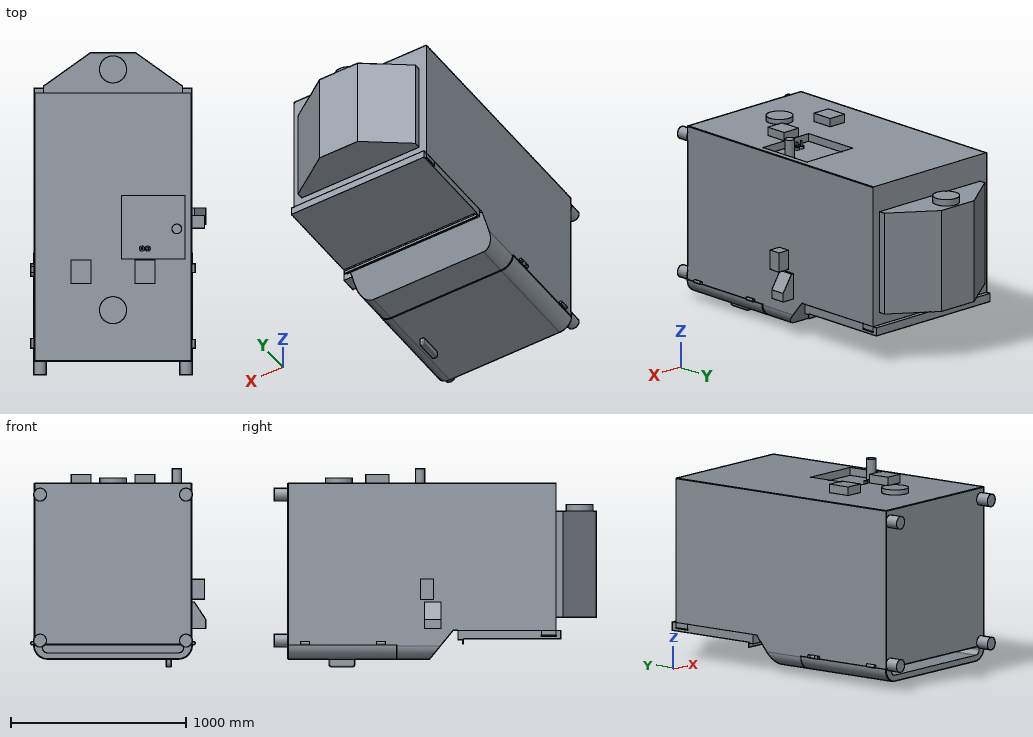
import cadquery as cq

WIDTH = 900.0
HALF_WIDTH = WIDTH / 2
LENGTH = 1533.0
HEIGHT = 1007.0
DOOR_LENGTH = 624.0
DOOR_HEIGHT = 83.0
STEP_HEIGHT = 165.0
STEP_FRONT = 945.0
SLOPE_FOOT = 810.0
CORNER_RADIUS = 77.0
EDGE_BREAK = 4.0

FOOT_RADIUS = 37.0
FOOT_LENGTH = 77.0
FOOT_SPACING = 834.0
FOOT_LOW_Z = 107.0

FLUE_BOX_DEPTH = 230.0
FLUE_BOX_STRAIGHT = 39.0
FLUE_BOX_WIDTH = 795.0
FLUE_BOX_END_WIDTH = 258.0
FLUE_BOX_BOTTOM = 240.0
FLUE_BOX_TOP = 846.0
COLLAR_RADIUS = 77.0
FLUE_COLLAR_HEIGHT = 39.0
FLUE_COLLAR_BEHIND = 135.0

TOP_COLLAR_Y = 293.0
TOP_COLLAR_HEIGHT = 30.0
TOP_BOX_X = 182.0
TOP_BOX_WIDTH = 115.0
TOP_BOX_FRONT = 445.0
TOP_BOX_LENGTH = 135.0
TOP_BOX_HEIGHT = 50.0
POCKET_SIZE = 362.0
POCKET_LEFT = 48.0
POCKET_FRONT = 583.0
POCKET_DEPTH = 46.0
PIPE_X = 365.0
PIPE_Y = 756.0
PIPE_RADIUS = 28.0
PIPE_RISE = 83.0
STUD_XS = (165.0, 199.0)
STUD_Y = 644.0
STUD_BASE_RADIUS = 15.0
STUD_BASE_HEIGHT = 15.0
STUD_RADIUS = 5.0
STUD_HEIGHT = 45.0

MOTOR_REACH = 74.0
MOTOR_FRONT = 760.0
MOTOR_LENGTH = 74.0
MOTOR_BOTTOM = 342.0
MOTOR_HEIGHT = 116.0
HOPPER_REACH = 81.0
HOPPER_FRONT = 782.0
HOPPER_LENGTH = 94.0
HOPPER_BOTTOM = 175.0
HOPPER_LIP_TOP = 226.0
HOPPER_TOP = 328.0
HOPPER_TOP_REACH = 15.0

DOOR_OVERHANG = 4.0
CAVITY_WIDTH = 806.0
CAVITY_FLOOR = 37.0
CAVITY_RADIUS = 30.0
HINGE_RADIUS = 10.0
HINGE_OUT = 11.0
HINGE_Z = 92.0
HINGES = (
    (-1, 485.0, 72.0),
    (-1, 74.0, 57.0),
    (1, 506.0, 52.0),
    (1, 74.0, 52.0),
)
SLEEVE_RADIUS = 10.1
SLEEVE_FRONT = 508.0
SLEEVE_LENGTH = 33.0
HANDLE_X = 318.0
HANDLE_WIDTH = 30.0
HANDLE_FRONT = 235.0
HANDLE_LENGTH = 149.0
HANDLE_DROP = 45.0
HANDLE_CORNER = 17.0
HANDLE_EDGE = 5.0

COVER_FRONT = 972.0
COVER_OVERHANG = 28.0
COVER_THICKNESS = 50.0
LIP_LENGTH = 33.0
LIP_DROP = 30.0
LIP_THICKNESS = 5.0
BAR_LENGTH = 85.0
BAR_HEIGHT = 30.0
BAR_CLEARANCE = 5.0


def box(x, y, z, dx, dy, dz):
    """Block with its low corner at (x, y, z)."""
    return cq.Workplane("XY").box(dx, dy, dz, centered=False).translate((x, y, z))


def upright_cylinder(x, y, z, radius, height):
    return cq.Workplane("XY", origin=(x, y, z)).circle(radius).extrude(height)


def along_y(y, length):
    """Sketch plane in X and Z at the given Y, with the length to extrude toward +Y."""
    return cq.Workplane("XZ", origin=(0, y, 0)), -length


def housing_shell():
    side = [
        (0, DOOR_HEIGHT),
        (DOOR_LENGTH, DOOR_HEIGHT),
        (DOOR_LENGTH, 0),
        (SLOPE_FOOT, 0),
        (STEP_FRONT, STEP_HEIGHT),
        (LENGTH, STEP_HEIGHT),
        (LENGTH, HEIGHT),
        (0, HEIGHT),
    ]
    shell = cq.Workplane("YZ").polyline(side).close().extrude(HALF_WIDTH, both=True)
    rounded = (
        box(-HALF_WIDTH, 0, 0, WIDTH, LENGTH, HEIGHT)
        .edges("|Y and <Z")
        .fillet(CORNER_RADIUS)
    )
    shell = shell.intersect(rounded)
    shell = shell.faces("<Y").edges().chamfer(EDGE_BREAK)
    return shell.faces(">Z").edges("|Y").chamfer(EDGE_BREAK)


def feet():
    plane, length = along_y(-FOOT_LENGTH, FOOT_LENGTH)
    middle = FOOT_LOW_Z + FOOT_SPACING / 2
    return (
        plane.center(0, middle)
        .rect(FOOT_SPACING, FOOT_SPACING, forConstruction=True)
        .vertices()
        .circle(FOOT_RADIUS)
        .extrude(length)
    )


def flue_box():
    half = FLUE_BOX_WIDTH / 2
    half_end = FLUE_BOX_END_WIDTH / 2
    outline = [
        (-half, LENGTH),
        (half, LENGTH),
        (half, LENGTH + FLUE_BOX_STRAIGHT),
        (half_end, LENGTH + FLUE_BOX_DEPTH),
        (-half_end, LENGTH + FLUE_BOX_DEPTH),
        (-half, LENGTH + FLUE_BOX_STRAIGHT),
    ]
    flue = (
        cq.Workplane("XY", origin=(0, 0, FLUE_BOX_BOTTOM))
        .polyline(outline)
        .close()
        .extrude(FLUE_BOX_TOP - FLUE_BOX_BOTTOM)
    )
    collar_y = LENGTH + FLUE_COLLAR_BEHIND
    return flue.union(upright_cylinder(0, collar_y, FLUE_BOX_TOP, COLLAR_RADIUS, FLUE_COLLAR_HEIGHT))


def top_fittings():
    fittings = upright_cylinder(0, TOP_COLLAR_Y, HEIGHT, COLLAR_RADIUS, TOP_COLLAR_HEIGHT)
    for x in (-TOP_BOX_X, TOP_BOX_X):
        left = x - TOP_BOX_WIDTH / 2
        fittings = fittings.union(
            box(left, TOP_BOX_FRONT, HEIGHT, TOP_BOX_WIDTH, TOP_BOX_LENGTH, TOP_BOX_HEIGHT)
        )
    return fittings


def pocket():
    return box(POCKET_LEFT, POCKET_FRONT, HEIGHT - POCKET_DEPTH, POCKET_SIZE, POCKET_SIZE, POCKET_DEPTH)


def pocket_fittings():
    floor = HEIGHT - POCKET_DEPTH
    fittings = upright_cylinder(PIPE_X, PIPE_Y, floor, PIPE_RADIUS, POCKET_DEPTH + PIPE_RISE)
    for x in STUD_XS:
        fittings = fittings.union(upright_cylinder(x, STUD_Y, floor, STUD_BASE_RADIUS, STUD_BASE_HEIGHT))
        fittings = fittings.union(upright_cylinder(x, STUD_Y, floor, STUD_RADIUS, STUD_HEIGHT))
    return fittings


def motor_box():
    return box(HALF_WIDTH, MOTOR_FRONT, MOTOR_BOTTOM, MOTOR_REACH, MOTOR_LENGTH, MOTOR_HEIGHT)


def hopper():
    outline = [
        (HALF_WIDTH, HOPPER_BOTTOM),
        (HALF_WIDTH + HOPPER_REACH, HOPPER_BOTTOM),
        (HALF_WIDTH + HOPPER_REACH, HOPPER_LIP_TOP),
        (HALF_WIDTH + HOPPER_TOP_REACH, HOPPER_TOP),
        (HALF_WIDTH, HOPPER_TOP),
    ]
    plane, length = along_y(HOPPER_FRONT, HOPPER_LENGTH)
    return plane.polyline(outline).close().extrude(length)


def make_housing():
    housing = housing_shell().cut(pocket())
    for part in (feet(), flue_box(), top_fittings(), pocket_fittings(), motor_box(), hopper()):
        housing = housing.union(part)
    return housing


def knuckle(side, front, length, radius):
    """Round bar along Y beside the housing."""
    plane, depth = along_y(front, length)
    return plane.center(side * (HALF_WIDTH + HINGE_OUT), HINGE_Z).circle(radius).extrude(depth)


def hinge(side, front, length):
    """Knuckle with a leaf that joins it to the top edge of the door."""
    leaf_left = min(side * HALF_WIDTH, side * (HALF_WIDTH + HINGE_OUT))
    leaf_bottom = HINGE_Z - SLEEVE_RADIUS
    leaf = box(leaf_left, front, leaf_bottom, HINGE_OUT, length, SLEEVE_RADIUS)
    return knuckle(side, front, length, HINGE_RADIUS).union(leaf)


def handle():
    grip = box(
        HANDLE_X - HANDLE_WIDTH / 2, HANDLE_FRONT, -HANDLE_DROP, HANDLE_WIDTH, HANDLE_LENGTH, HANDLE_DROP
    )
    grip = grip.edges("|X and <Z").fillet(HANDLE_CORNER)
    return grip.faces("<X or >X").edges("not >Z").fillet(HANDLE_EDGE)


def make_door():
    half = HALF_WIDTH + DOOR_OVERHANG
    door = box(-half, 0, 0, 2 * half, DOOR_LENGTH, DOOR_HEIGHT)
    door = door.edges("|Y and <Z").fillet(CORNER_RADIUS + DOOR_OVERHANG)
    door = door.faces("<Y or >Y").edges("not >Z").chamfer(EDGE_BREAK)
    cavity = (
        box(-CAVITY_WIDTH / 2, 0, CAVITY_FLOOR, CAVITY_WIDTH, DOOR_LENGTH, DOOR_HEIGHT)
        .edges("|Y and <Z")
        .fillet(CAVITY_RADIUS)
    )
    door = door.cut(cavity).union(handle())
    for side, front, length in HINGES:
        door = door.union(hinge(side, front, length))
    return door.union(knuckle(-1, SLEEVE_FRONT, SLEEVE_LENGTH, SLEEVE_RADIUS))


def make_cover():
    rear = LENGTH + COVER_OVERHANG
    bottom = STEP_HEIGHT - COVER_THICKNESS
    cover = box(-HALF_WIDTH, COVER_FRONT, bottom, WIDTH, rear - COVER_FRONT, COVER_THICKNESS)
    lip_top = box(-HALF_WIDTH, COVER_FRONT, bottom - LIP_THICKNESS, WIDTH, LIP_LENGTH, LIP_THICKNESS)
    lip_rear = COVER_FRONT + LIP_LENGTH
    lip_down = box(
        -HALF_WIDTH, lip_rear - LIP_THICKNESS, bottom - LIP_DROP, WIDTH, LIP_THICKNESS, LIP_DROP
    )
    recess_height = BAR_HEIGHT + BAR_CLEARANCE
    recess = box(
        -HALF_WIDTH, LENGTH - BAR_LENGTH, STEP_HEIGHT - recess_height, WIDTH, BAR_LENGTH, recess_height
    )
    return cover.union(lip_top).union(lip_down).cut(recess)


def make_bar():
    return box(-HALF_WIDTH, LENGTH - BAR_LENGTH, STEP_HEIGHT - BAR_HEIGHT, WIDTH, BAR_LENGTH, BAR_HEIGHT)


housing = make_housing()
door = make_door()
cover = make_cover()
bar = make_bar()

result = cq.Compound.makeCompound([housing.val(), door.val(), cover.val(), bar.val()])